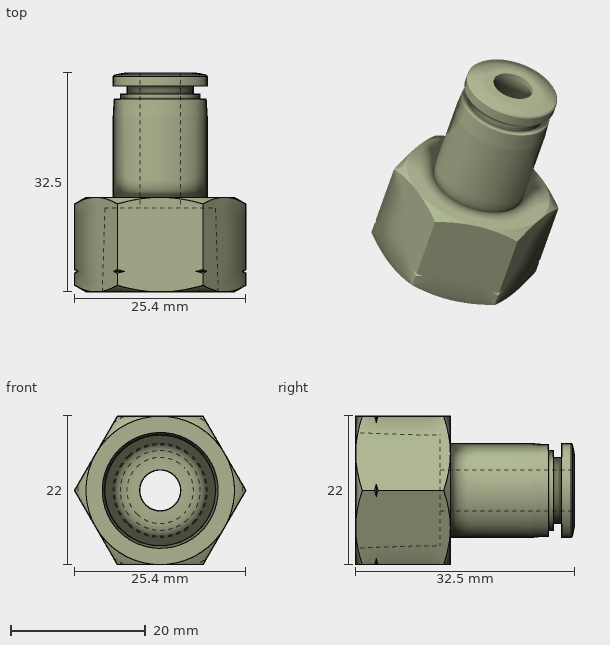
import cadquery as cq
import math

total_length = 32.45

across_flats = 22.0
nut_length = 14.02
chamfer_angle = 30.0
notch_position = 3.05
notch_depth = 0.5
notch_half_width = 0.25

stem_diameter = 13.95
stem_taper_start = 25.95
stem_taper_end = 28.55
stem_end_diameter = 13.63
shoulder_diameter = 11.85
shoulder_end = 29.3
neck_diameter = 9.83
ring_start = 30.5
ring_rim_end = 31.93
ring_edge = 0.2
ring_face_diameter = 9.1

socket_mouth_diameter = 17.15
socket_floor_diameter = 16.4
socket_taper = 1 / 16
hole_diameter = 6.05

flat_radius = across_flats / 2
corner_radius = flat_radius / math.cos(math.radians(30))
socket_depth = (socket_mouth_diameter - socket_floor_diameter) / socket_taper


def revolve_about_y(points):
    """Turn a closed (radius, y) profile about the Y axis."""
    return cq.Workplane("XY").polyline(points).close().revolve(360, (0, 0, 0), (0, 1, 0))


def make_nut():
    """Hexagon with corners on X, both ends chamfered and a V notch across each corner."""
    hexagon = cq.Workplane("XZ").polygon(6, 2 * corner_radius).extrude(-nut_length)
    chamfer_length = (corner_radius - flat_radius) * math.tan(math.radians(chamfer_angle))
    envelope = revolve_about_y([
        (0, 0),
        (flat_radius, 0),
        (corner_radius, chamfer_length),
        (corner_radius, notch_position - notch_half_width),
        (corner_radius - notch_depth, notch_position),
        (corner_radius, notch_position + notch_half_width),
        (corner_radius, nut_length - chamfer_length),
        (flat_radius, nut_length),
        (0, nut_length),
    ])
    return hexagon.intersect(envelope)


def make_stem():
    """Round stem with a slightly tapered end, a shoulder, a neck and a crowned release ring."""
    stem_radius = stem_diameter / 2
    ring_face_radius = ring_face_diameter / 2
    crown_outer_radius = stem_radius - ring_edge
    crown_base = ring_rim_end + ring_edge

    crown_width = crown_outer_radius - ring_face_radius
    crown_height = total_length - crown_base
    arc_radius = (crown_width**2 + crown_height**2) / (2 * crown_height)
    half_angle = math.asin(crown_width / arc_radius) / 2
    arc_middle = (
        ring_face_radius + arc_radius * math.sin(half_angle),
        total_length - arc_radius * (1 - math.cos(half_angle)),
    )
    return (
        cq.Workplane("XY")
        .moveTo(0, nut_length / 2)
        .lineTo(stem_radius, nut_length / 2)
        .lineTo(stem_radius, stem_taper_start)
        .lineTo(stem_end_diameter / 2, stem_taper_end)
        .lineTo(shoulder_diameter / 2, stem_taper_end)
        .lineTo(shoulder_diameter / 2, shoulder_end)
        .lineTo(neck_diameter / 2, shoulder_end)
        .lineTo(neck_diameter / 2, ring_start)
        .lineTo(stem_radius, ring_start)
        .lineTo(stem_radius, ring_rim_end)
        .lineTo(crown_outer_radius, crown_base)
        .threePointArc(arc_middle, (ring_face_radius, total_length))
        .lineTo(0, total_length)
        .close()
        .revolve(360, (0, 0, 0), (0, 1, 0))
    )


def make_bore():
    """Tapered socket open at the nut face, followed by a hole through the whole length."""
    return revolve_about_y([
        (0, 0),
        (socket_mouth_diameter / 2, 0),
        (socket_floor_diameter / 2, socket_depth),
        (hole_diameter / 2, socket_depth),
        (hole_diameter / 2, total_length),
        (0, total_length),
    ])


result = make_nut().union(make_stem()).cut(make_bore())